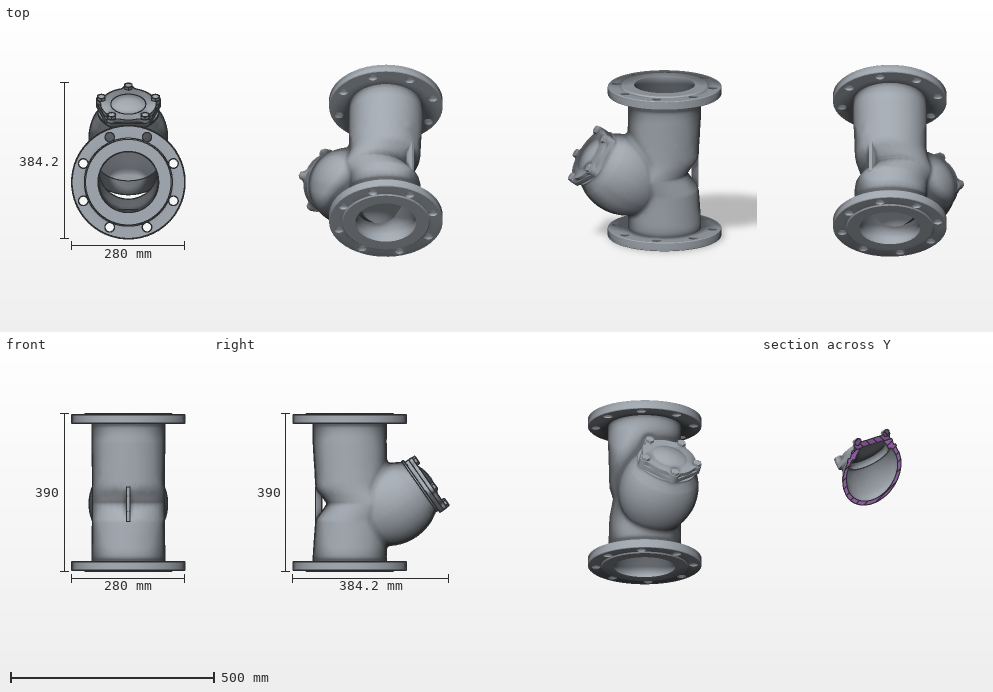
import cadquery as cq
import math

face_to_face = 390.0
half_length = face_to_face / 2
bore_diameter = 150.0
pipe_diameter = 180.0
pipe_wall = (pipe_diameter - bore_diameter) / 2

flange_diameter = 280.0
flange_thickness = 22.0
flange_edge_chamfer = 1.5
raised_face_height = 3.0
raised_face_diameter = 211.0
flange_bolt_circle = 240.0
flange_bolt_hole = 23.0
flange_bolt_count = 8

upper_neck_z = 121.0
lower_neck_z = -156.0
upper_shoulder_z = 9.0
waist_z = -27.0
lower_shoulder_z = -67.0
waist_radius = 88.5
shoulder_offset = 4.5
waist_offset = 36.5
waist_rounding = 6.0
path_points = 24

rib_width = 8.0
rib_depth = 16.0
rib_outer_y = -84.5
rib_top_z = 14.0
rib_bottom_z = -72.0

branch_tilt = 55.0
branch_foot_z = -104.6
seat_distance = 224.6
bulge_radius = 97.0
bulge_depth = 91.0
bulge_arc_radius = 128.0
branch_depth = 190.0
branch_wall = 10.0
branch_mouth_radius = 52.0
branch_root_fillet = 10.0

cover_bolt_circle = 140.0
cover_bolt_count = 5
cover_bolt_diameter = 12.0
lobe_radius = 12.0
cover_thickness = 10.0
cover_disc_radius = 68.0
cover_lobe_fillet = 13.0
dome_diameter = 86.0
dome_height = 9.0
seat_flange_thickness = 11.0
rim_diameter = 150.0
rim_thickness = 5.0
rim_bottom = -seat_flange_thickness - rim_thickness
hexagon_sides = 6
bolt_head_flats = 19.0
bolt_head_height = 8.0
bolt_head_top_diameter = 18.0
bolt_head_chamfer_angle = 30.0
bolt_depth = 10.0

plug_radius = 75.0
plug_top_depth = 168.0
plug_thickness = 42.0
plug_dish_depth = 16.5


def tilted(shape):
    """Move a shape built about Z, with the cover seat at Z = 0, onto the branch axis."""
    tilt = math.radians(branch_tilt)
    seat_y = seat_distance * math.sin(tilt)
    seat_z = branch_foot_z + seat_distance * math.cos(tilt)
    return shape.rotate((0, 0, 0), (1, 0, 0), -branch_tilt).translate((0, seat_y, seat_z))


def cylinder(radius, bottom, height):
    return cq.Workplane("XY").workplane(offset=bottom).circle(radius).extrude(height)


def cone(bottom_radius, top_radius, bottom, height):
    solid = cq.Solid.makeCone(bottom_radius, top_radius, height)
    return cq.Workplane(obj=solid.translate(cq.Vector(0, 0, bottom)))


def cover_bolt_points():
    radius = cover_bolt_circle / 2
    angles = [math.radians(90 + i * 360 / cover_bolt_count) for i in range(cover_bolt_count)]
    return [(radius * math.cos(a), radius * math.sin(a)) for a in angles]


def waist_path():
    """Centre line between the necks: straight runs joined by rounded corners, as one curve."""
    levels = [lower_neck_z, lower_shoulder_z, waist_z, upper_shoulder_z, upper_neck_z]
    offsets = [0, shoulder_offset, waist_offset, shoulder_offset, 0]
    slopes = [
        (offsets[i + 1] - offsets[i]) / (levels[i + 1] - levels[i]) for i in range(len(levels) - 1)
    ]
    length = upper_neck_z - lower_neck_z

    def offset_at(z):
        offset = slopes[0] * (z - lower_neck_z)
        for corner, before, after in zip(levels[1:-1], slopes, slopes[1:]):
            past = z - corner
            offset += (after - before) * (past + math.hypot(past, waist_rounding)) / 2
        return offset

    start = offset_at(lower_neck_z)
    end = offset_at(upper_neck_z)

    def point_at(t):
        z = lower_neck_z + t * length
        return (0, offset_at(z) - start + t * (start - end), z)

    return cq.Workplane("XY").parametricCurve(point_at, N=path_points, makeWire=True)


def waisted_pipe(inset):
    """Full-length pipe with the offset waist; inset is the distance inside the outer wall."""
    neck_radius = pipe_diameter / 2 - inset
    inner_waist_radius = waist_radius - inset
    path = waist_path()
    waist_y = path.val().positionAt((waist_z - lower_neck_z) / (upper_neck_z - lower_neck_z)).y
    waist = (
        cq.Workplane("XY", origin=(0, 0, lower_neck_z)).circle(neck_radius)
        .workplane(offset=waist_z - lower_neck_z).center(0, waist_y).circle(inner_waist_radius)
        .workplane(offset=upper_neck_z - waist_z).center(0, -waist_y).circle(neck_radius)
        .sweep(path, multisection=True, normal=cq.Vector(0, 0, 1))
    )
    lower_end = cylinder(neck_radius, -half_length, lower_neck_z + half_length)
    upper_end = cylinder(neck_radius, upper_neck_z, half_length - upper_neck_z)
    return waist.union(lower_end).union(upper_end)


def end_flange():
    """Upper end flange, with its raised face at the top."""
    back = half_length - raised_face_height - flange_thickness
    disc = cylinder(flange_diameter / 2, back, flange_thickness).edges().chamfer(flange_edge_chamfer)
    face_radius = raised_face_diameter / 2
    face = cone(
        face_radius + raised_face_height, face_radius, half_length - raised_face_height, raised_face_height
    )
    holes = (
        cq.Workplane("XY").workplane(offset=back)
        .polarArray(flange_bolt_circle / 2, 180 / flange_bolt_count, 360, flange_bolt_count)
        .circle(flange_bolt_hole / 2).extrude(flange_thickness)
    )
    return disc.union(face).cut(holes)


def branch_turning(top, inset):
    """Bulged body about Z from depth branch_depth up to the level top."""
    arc_radius = bulge_arc_radius - inset
    arc_center = bulge_radius - bulge_arc_radius

    def radius_at(z):
        return arc_center + math.sqrt(arc_radius ** 2 - (z + bulge_depth) ** 2)

    return (
        cq.Workplane("XZ")
        .moveTo(0, -branch_depth)
        .lineTo(radius_at(-branch_depth), -branch_depth)
        .threePointArc((bulge_radius - inset, -bulge_depth), (radius_at(top), top))
        .lineTo(0, top)
        .close()
        .revolve(360, (0, 0, 0), (0, 1, 0))
    )


def branch_seat():
    """Pentagonal cover seat with rounded lobes, on a round rim; its top face is at Z = 0."""
    pentagon = cq.Workplane("XY").polyline(cover_bolt_points()).close().offset2D(lobe_radius)
    lobed_plate = pentagon.extrude(-seat_flange_thickness)
    rim = cylinder(rim_diameter / 2, rim_bottom, rim_thickness)
    return lobed_plate.union(rim)


def rib():
    return (
        cq.Workplane("XY", origin=(0, rib_outer_y + rib_depth / 2, rib_bottom_z))
        .rect(rib_width, rib_depth).extrude(rib_top_z - rib_bottom_z)
    )


def plug():
    """Closing disc with a shallow conical dish in its upper face."""
    disc = cylinder(plug_radius, -plug_top_depth - plug_thickness, plug_thickness)
    dish = cone(0, plug_radius, -plug_top_depth - plug_dish_depth, plug_dish_depth)
    return disc.cut(dish)


def build_housing():
    branch = tilted(branch_turning(rim_bottom, 0))
    outer = waisted_pipe(0).union(branch)
    junction = cq.selectors.BoxSelector(
        (-1, waist_offset, lower_neck_z), (1, pipe_diameter / 2, upper_neck_z)
    )
    outer = outer.edges(junction).fillet(branch_root_fillet)
    cavity = waisted_pipe(pipe_wall).union(tilted(branch_turning(rim_bottom, branch_wall)))
    cavity = cavity.cut(tilted(plug()))
    mouth_bottom = 2 * rim_bottom
    mouth = cylinder(branch_mouth_radius, mouth_bottom, -mouth_bottom)
    upper_flange = end_flange()
    lower_flange = upper_flange.mirror("XY")
    housing = outer.union(tilted(branch_seat())).union(rib())
    housing = housing.union(upper_flange).union(lower_flange)
    housing = housing.cut(cavity).cut(tilted(mouth))
    return housing.cut(tilted(cover_bolt_holes(-bolt_depth, bolt_depth)))


def cover_bolt_holes(bottom, height):
    plane = cq.Workplane("XY").workplane(offset=bottom)
    return plane.pushPoints(cover_bolt_points()).circle(cover_bolt_diameter / 2).extrude(height)


def build_cover():
    disc = cylinder(cover_disc_radius, 0, cover_thickness)
    lobes = cq.Workplane("XY").pushPoints(cover_bolt_points()).circle(lobe_radius).extrude(cover_thickness)
    plate = disc.union(lobes).edges("|Z").fillet(cover_lobe_fillet)
    dome_top = cover_thickness + dome_height
    dome = (
        cq.Workplane("XZ").moveTo(0, cover_thickness).lineTo(dome_diameter / 2, cover_thickness)
        .threePointArc(dome_shoulder(), (0, dome_top)).close().revolve(360, (0, 0, 0), (0, 1, 0))
    )
    return tilted(plate.union(dome).cut(cover_bolt_holes(0, cover_thickness)))


def dome_shoulder():
    """Point of the dome's arc halfway between its rim and its top."""
    rim_radius = dome_diameter / 2
    sphere_radius = (rim_radius ** 2 + dome_height ** 2) / (2 * dome_height)
    half_angle = math.asin(rim_radius / sphere_radius) / 2
    top = cover_thickness + dome_height
    return sphere_radius * math.sin(half_angle), top - sphere_radius * (1 - math.cos(half_angle))


def build_bolt(x, y):
    """Hexagon bolt with a chamfered head, its corners towards +Y and -Y."""
    corner_diameter = bolt_head_flats / math.cos(math.pi / hexagon_sides)
    head = (
        cq.Workplane("XY").workplane(offset=cover_thickness)
        .transformed(rotate=(0, 0, 90)).polygon(hexagon_sides, corner_diameter).extrude(bolt_head_height)
    )
    top_radius = bolt_head_top_diameter / 2
    chamfer_slope = math.tan(math.radians(bolt_head_chamfer_angle))
    base_radius = top_radius + bolt_head_height / chamfer_slope
    head = head.intersect(cone(base_radius, top_radius, cover_thickness, bolt_head_height))
    shank = cylinder(cover_bolt_diameter / 2, -bolt_depth, bolt_depth + cover_thickness)
    return tilted(head.union(shank).translate((x, y, 0)))


housing = build_housing()
cover = build_cover()
bolts = [build_bolt(x, y) for x, y in cover_bolt_points()]
result = cq.Compound.makeCompound([housing.val(), cover.val(), *[bolt.val() for bolt in bolts]])